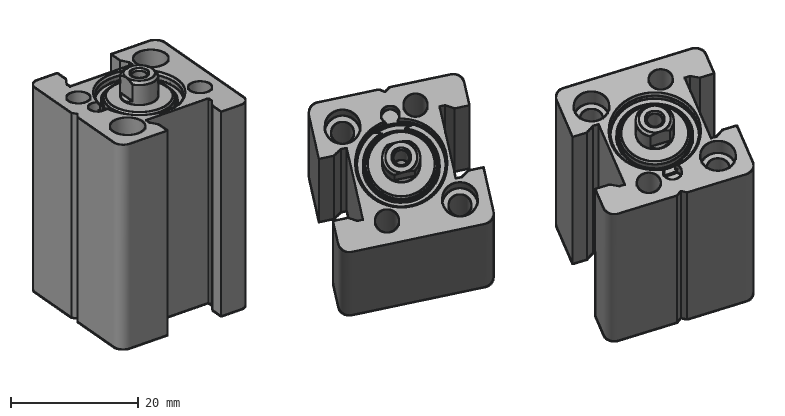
import cadquery as cq
import math

side = 25.0
housing_height = 37.0
corner_radius = 1.8
half_side = side / 2

channel_offset_y = 1.75
channel_mouth_half_width = 5.17
channel_inner_half_width = 6.0
channel_floor_x = 7.85
channel_undercut_x = 8.75
channel_lip_x = 10.1

v_groove_half_width = 0.83
v_groove_depth = 0.6

counterbored_hole_position = (-7.75, 7.75)
counterbored_hole_diameter = 3.6
counterbore_diameter = 5.6
counterbore_depth = 3.5
plain_hole_position = (4.2, 8.75)
plain_hole_diameter = 3.8

recess_diameter = 13.7
ring_lip_diameter = 13.9
mouth_diameter = 14.5
mouth_chamfer_height = 0.5
recess_floor_z = 30.0

ring_seat_z = 34.6
ring_thickness = 1.0
ring_top_z = ring_seat_z + ring_thickness
ring_outer_diameter = 14.3
ring_inner_diameter = 12.1
ring_gap_inner_half_width = 1.85
ring_end_angle = 16.5

removal_pocket_diameter = 2.95
removal_pocket_centre_y = -8.06
removal_pocket_floor_z = 34.8

collar_diameter = 11.2
collar_top_z = 36.4
collar_chamfer = 0.35
collar_foot_bevel = 0.23

rod_diameter = 6.0
rod_top_z = 40.5
rod_chamfer = 0.5
rod_across_flats = 5.0
tap_drill_diameter = 2.46
tap_drill_depth = 6.0
drill_point_angle = 118.0
countersink_diameter = 3.1


def cylinder(diameter, bottom_z, top_z):
    """Round bar on the Z axis."""
    return cq.Workplane("XY").workplane(offset=bottom_z).circle(diameter / 2).extrude(top_z - bottom_z)


def revolved(half_section):
    """Solid of revolution around the Z axis from (radius, z) points."""
    return cq.Workplane("XZ").polyline(half_section).close().revolve(360, (0, 0, 0), (0, 1, 0))


def opposite(point):
    """The point half a turn away around the Z axis."""
    return (-point[0], -point[1])


def sensor_channel():
    """Undercut channel on the +X side, running the full height."""
    inner_top = channel_offset_y + channel_inner_half_width
    inner_bottom = channel_offset_y - channel_inner_half_width
    mouth_top = channel_offset_y + channel_mouth_half_width
    mouth_bottom = channel_offset_y - channel_mouth_half_width
    outline = [
        (channel_floor_x, inner_bottom),
        (channel_undercut_x, inner_bottom),
        (channel_lip_x, mouth_bottom),
        (half_side, mouth_bottom),
        (half_side, mouth_top),
        (channel_lip_x, mouth_top),
        (channel_undercut_x, inner_top),
        (channel_floor_x, inner_top),
    ]
    return cq.Workplane("XY").polyline(outline).close().extrude(housing_height)


def v_groove():
    outline = [
        (-v_groove_half_width, -half_side),
        (0, -half_side + v_groove_depth),
        (v_groove_half_width, -half_side),
    ]
    return cq.Workplane("XY").polyline(outline).close().extrude(housing_height)


def recess():
    """Stepped recess from the top face: chamfered mouth, lip, ring groove and cover seat."""
    mouth_radius = mouth_diameter / 2
    lip_radius = ring_lip_diameter / 2
    groove_radius = ring_outer_diameter / 2
    seat_radius = recess_diameter / 2
    return revolved([
        (0, recess_floor_z),
        (seat_radius, recess_floor_z),
        (seat_radius, ring_seat_z),
        (groove_radius, ring_seat_z),
        (groove_radius, ring_top_z),
        (lip_radius, ring_top_z),
        (lip_radius, housing_height - mouth_chamfer_height),
        (mouth_radius, housing_height),
        (0, housing_height),
    ])


def removal_pocket():
    pocket = cylinder(removal_pocket_diameter, removal_pocket_floor_z, housing_height)
    return pocket.translate((0, removal_pocket_centre_y, 0))


def make_housing():
    block = cq.Workplane("XY").rect(side, side).extrude(housing_height).edges("|Z").fillet(corner_radius)
    for turn in (0, 180):
        block = block.cut(sensor_channel().rotate((0, 0, 0), (0, 0, 1), turn))
    block = block.cut(v_groove())
    block = (
        block.faces(">Z").workplane(origin=(0, 0, housing_height))
        .pushPoints([counterbored_hole_position, opposite(counterbored_hole_position)])
        .cboreHole(counterbored_hole_diameter, counterbore_diameter, counterbore_depth)
    )
    block = (
        block.faces(">Z").workplane(origin=(0, 0, housing_height))
        .pushPoints([plain_hole_position, opposite(plain_hole_position)])
        .hole(plain_hole_diameter)
    )
    return block.cut(recess()).cut(removal_pocket())


def make_cover():
    """Flange and collar in one, with a chamfered rim, a bevelled foot and a bore for the rod."""
    bore_radius = rod_diameter / 2
    flange_radius = recess_diameter / 2
    collar_radius = collar_diameter / 2
    return revolved([
        (bore_radius, recess_floor_z),
        (flange_radius, recess_floor_z),
        (flange_radius, ring_seat_z),
        (collar_radius + collar_foot_bevel, ring_seat_z),
        (collar_radius, ring_seat_z + collar_foot_bevel),
        (collar_radius, collar_top_z - collar_chamfer),
        (collar_radius - collar_chamfer, collar_top_z),
        (bore_radius, collar_top_z),
    ])


def make_snap_ring():
    """Ring with a gap on the -Y side that widens outwards between slanted ends."""
    ring = cylinder(ring_outer_diameter, ring_seat_z, ring_top_z)
    ring = ring.cut(cylinder(ring_inner_diameter, ring_seat_z, ring_top_z))
    ring_inner_radius = ring_inner_diameter / 2
    gap_inner_y = -math.sqrt(ring_inner_radius**2 - ring_gap_inner_half_width**2)
    slope = math.tan(math.radians(ring_end_angle))
    apex_y = gap_inner_y + ring_gap_inner_half_width * slope
    gap_outer_y = apex_y - half_side * slope
    gap_outline = [(0, apex_y), (half_side, gap_outer_y), (0, -side), (-half_side, gap_outer_y)]
    gap = (
        cq.Workplane("XY").workplane(offset=ring_seat_z)
        .polyline(gap_outline).close().extrude(ring_thickness)
    )
    return ring.cut(gap)


def flat_cutter():
    """Material removed for the flat on the +Y side, running out at 45 degrees at its lower end."""
    flat_y = rod_across_flats / 2
    outer_y = rod_diameter
    outline = [
        (flat_y, rod_top_z),
        (flat_y, housing_height),
        (outer_y, housing_height - (outer_y - flat_y)),
        (outer_y, rod_top_z),
    ]
    return cq.Workplane("YZ").polyline(outline).close().extrude(rod_diameter / 2, both=True)


def tapped_bore():
    """Drilled bore with a conical bottom and a 45 degree countersink, cut from the rod's tip."""
    drill_radius = tap_drill_diameter / 2
    countersink_radius = countersink_diameter / 2
    countersink_z = rod_top_z - (countersink_radius - drill_radius)
    drill_end_z = rod_top_z - tap_drill_depth
    point_z = drill_end_z - drill_radius / math.tan(math.radians(drill_point_angle / 2))
    return revolved([
        (0, rod_top_z),
        (countersink_radius, rod_top_z),
        (drill_radius, countersink_z),
        (drill_radius, drill_end_z),
        (0, point_z),
    ])


def make_rod():
    rod = cylinder(rod_diameter, recess_floor_z, rod_top_z).faces(">Z").chamfer(rod_chamfer)
    for turn in (0, 180):
        rod = rod.cut(flat_cutter().rotate((0, 0, 0), (0, 0, 1), turn))
    return rod.cut(tapped_bore())


housing = make_housing()
cover = make_cover()
snap_ring = make_snap_ring()
rod = make_rod()

result = cq.Compound.makeCompound([housing.val(), cover.val(), snap_ring.val(), rod.val()])